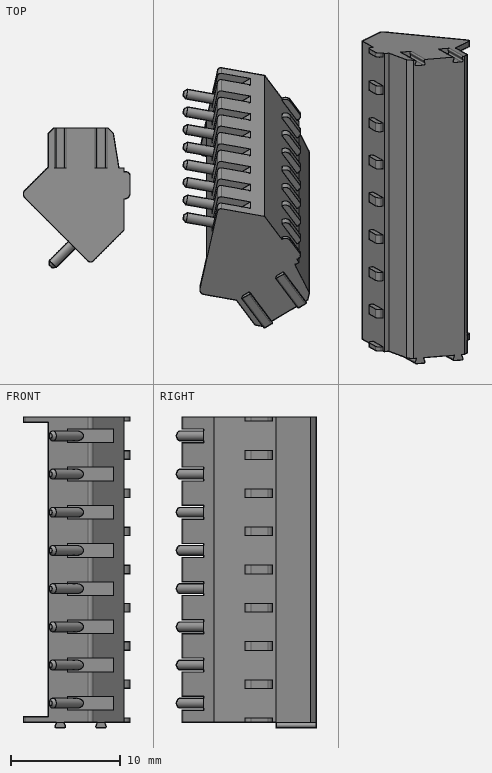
import cadquery as cq
import math


total_height = 28.5
body_height = 28.0
pole_count = 8
pitch = body_height / pole_count
pole_centers = [(i + 0.5) * pitch for i in range(pole_count)]
pole_boundaries = [i * pitch for i in range(pole_count + 1)]

plug_length = 3.68
plug_chamfer = 0.5
taper_start_x = 5.98
taper_end_x = 6.5
wall_x = 6.95
side_wall_length = 3.6
wing_reach = 2.48
mounting_face_length = 9.0
wing_radius = 0.48
nose_radius = 0.3

plate_thickness = 0.5

rib_height = 0.57
rib_width = 0.8
rib_start = 4.02
rib_end = 6.53
rib_front_radius = 0.4
rib_rear_radius = 0.55

guide_first_x = 1.1
guide_spacing = 3.73
guide_centers = [guide_first_x, guide_first_x + guide_spacing]
dovetail_depth = total_height - body_height
dovetail_root_width = 0.68
dovetail_base_width = 1.08
dovetail_radius = 0.128

pin_radius = 0.45
pin_tip_radius = 0.215
pin_taper_length = 0.28
pin_tip_x = 0.23
pin_tip_y = -12.68
pin_length = 4.55
slot_floor_y = -10.32
slot_height = 1.25

wing_tip_x = -wing_reach
wing_tip_y = -side_wall_length - wing_reach
nose_x = wing_tip_x + mounting_face_length / math.sqrt(2)
nose_y = wing_tip_y - mounting_face_length / math.sqrt(2)
wall_end_y = nose_y + (wall_x - nose_x)


def housing():
    outline = [
        (plug_chamfer, 0),
        (taper_start_x - plug_chamfer, 0),
        (taper_start_x, -plug_chamfer),
        (taper_end_x, -plug_length),
        (wall_x, -plug_length),
        (wall_x, wall_end_y),
        (nose_x, nose_y),
        (wing_tip_x, wing_tip_y),
        (0, -side_wall_length),
        (0, -plug_chamfer),
    ]
    block = cq.Workplane("XY").polyline(outline).close().extrude(body_height)
    wing_edge = (wing_tip_x, wing_tip_y, body_height / 2)
    nose_edge = (nose_x, nose_y, body_height / 2)
    block = block.edges(cq.NearestToPointSelector(wing_edge)).fillet(wing_radius)
    return block.edges(cq.NearestToPointSelector(nose_edge)).fillet(nose_radius)


def wing_recess():
    """Space between the end plates, which leaves the wings standing out past X = 0."""
    gap = body_height - 2 * plate_thickness
    block = cq.Workplane("XY").box(wing_reach, -nose_y, gap, centered=False)
    return block.translate((-wing_reach, nose_y, plate_thickness))


def pin_slot(z):
    """Slot across the nose; its floor is square to Y."""
    depth = slot_floor_y - nose_y
    block = cq.Workplane("XY").box(wall_x, depth, slot_height, centered=(False, False, True))
    return block.translate((0, nose_y, z))


def pin(z):
    """Round pin with a tapered tip, square to the mounting face."""
    half_profile = [
        (0, 0),
        (pin_tip_radius, 0),
        (pin_radius, pin_taper_length),
        (pin_radius, pin_length),
        (0, pin_length),
    ]
    upright = cq.Workplane("XY").polyline(half_profile).close().revolve(360, (0, 0), (0, 1))
    return upright.rotate((0, 0, 0), (0, 0, 1), -45).translate((pin_tip_x, pin_tip_y, z))


def rib(z):
    """Rounded rib at a pole boundary, rooted in the wall; end ribs are cut off flush."""
    bottom = max(z - rib_width / 2, 0)
    top = min(z + rib_width / 2, body_height)
    length = rib_end - rib_start
    block = cq.Workplane("XY").box(2 * rib_height, length, top - bottom, centered=False)
    block = block.translate((wall_x - rib_height, -rib_end, bottom))
    block = block.edges("|Z and >X and >Y").fillet(rib_front_radius)
    return block.edges("|Z and >X and <Y").fillet(rib_rear_radius)


def dovetail_bar(x, z):
    """Bar along the plug end, narrow at height z and wider below, with rounded lower edges."""
    section = [
        (x + dovetail_root_width / 2, z),
        (x + dovetail_base_width / 2, z - dovetail_depth),
        (x - dovetail_base_width / 2, z - dovetail_depth),
        (x - dovetail_root_width / 2, z),
    ]
    bar = cq.Workplane("XZ").polyline(section).close().extrude(plug_length)
    return bar.faces("<Z").edges("|Y").fillet(dovetail_radius)


def cut_groove(body, x):
    """Dovetail groove open at the plug end face, with rounded lips."""
    body = body.cut(dovetail_bar(x, body_height))
    for side in (-1, 1):
        lip = (x + side * dovetail_root_width / 2, -plug_length / 2, body_height)
        body = body.edges(cq.NearestToPointSelector(lip)).fillet(dovetail_radius)
    return body


result = housing().cut(wing_recess())
for x in guide_centers:
    result = cut_groove(result, x)
    result = result.union(dovetail_bar(x, 0))
for z in pole_centers:
    result = result.cut(pin_slot(z))
    result = result.union(pin(z))
for z in pole_boundaries:
    result = result.union(rib(z))